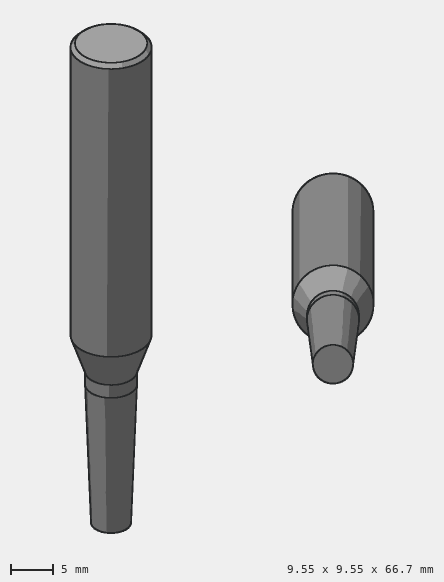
import cadquery as cq

total_length = 66.7
shank_diameter = 9.55
top_chamfer = 0.55
neck_diameter = 6.15
neck_length = 1.8
cone_length = 5.0

tip_length = 19.3
tip_end_diameter = 4.75

shank_radius = shank_diameter / 2
neck_radius = neck_diameter / 2
tip_end_radius = tip_end_diameter / 2
cone_bottom = tip_length + neck_length
cone_top = cone_bottom + cone_length


def revolve_profile(points):
    """Revolve a closed outline of (radius, height) points about the Z axis."""
    return cq.Workplane("XZ").polyline(points).close().revolve(360, (0, 0, 0), (0, 1, 0))


def make_shank():
    """Neck, cone and chamfered bar in one solid, standing on the tip."""
    return revolve_profile([
        (0, tip_length),
        (neck_radius, tip_length),
        (neck_radius, cone_bottom),
        (shank_radius, cone_top),
        (shank_radius, total_length - top_chamfer),
        (shank_radius - top_chamfer, total_length),
        (0, total_length),
    ])


def make_tip():
    """Solid taper that widens upward to the neck."""
    return revolve_profile([
        (0, 0),
        (tip_end_radius, 0),
        (neck_radius, tip_length),
        (0, tip_length),
    ])


shank = make_shank()
tip = make_tip()
result = cq.Compound.makeCompound([shank.val(), tip.val()])